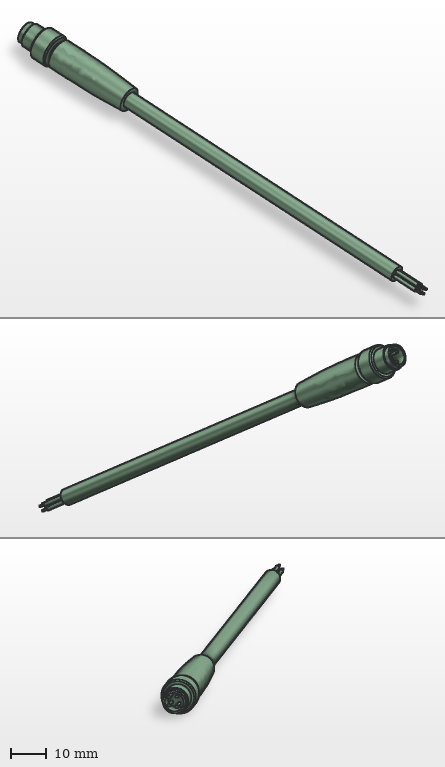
import cadquery as cq

nose_end = 1.8
sleeve_end = 5.8
nut_end = 11.3
grip_start = 12.6
grip_end = 38.7
jacket_end = 138.6
insulation_end = 146.6
strand_end = 148.7

nose_radius = 3.3
sleeve_radius = 3.7
nut_radius = 10.0 / 2
neck_radius = 2.8
grip_start_radius = 9.0 / 2
grip_middle_radius = 4.5
grip_end_radius = 3.7
jacket_radius = 2.4
nut_chamfer = 0.5

cup_radius = 2.7
cup_depth = 4.5
pin_radius = 0.5
pin_setback = 0.7
pin_centers = [(1.6, 1.2), (1.6, -1.2), (-0.6, 1.5), (-0.6, -1.5)]

wire_radius = 0.6
strand_radius = 0.3
wire_offset = 1.0
wire_centers = [(wire_offset, 0), (-wire_offset, 0), (0, wire_offset), (0, -wire_offset)]
overlap = 1.5


def rod(start, end, radius, y=0.0, z=0.0):
    """Cylinder along X between two stations."""
    return cq.Workplane("YZ", origin=(start, y, z)).circle(radius).extrude(end - start)


def make_body():
    """Connector, coupling nut, grip and jacket as one turned profile."""
    grip_middle = ((grip_start + grip_end) / 2, grip_middle_radius)
    profile = (
        cq.Workplane("XY")
        .lineTo(0, nose_radius)
        .lineTo(nose_end, nose_radius)
        .lineTo(nose_end, sleeve_radius)
        .lineTo(sleeve_end, sleeve_radius)
        .lineTo(sleeve_end, nut_radius - nut_chamfer)
        .lineTo(sleeve_end + nut_chamfer, nut_radius)
        .lineTo(nut_end - nut_chamfer, nut_radius)
        .lineTo(nut_end, nut_radius - nut_chamfer)
        .lineTo(nut_end, neck_radius)
        .lineTo(grip_start, neck_radius)
        .lineTo(grip_start, grip_start_radius)
        .threePointArc(grip_middle, (grip_end, grip_end_radius))
        .lineTo(grip_end, jacket_radius)
        .lineTo(jacket_end, jacket_radius)
        .lineTo(jacket_end, 0)
        .close()
    )
    return profile.revolve(360, (0, 0, 0), (1, 0, 0))


def add_contacts(body):
    """Hollow out the cup and stand the contact pins in it."""
    body = body.cut(rod(0, cup_depth, cup_radius))
    for y, z in pin_centers:
        body = body.union(rod(pin_setback, cup_depth + overlap, pin_radius, y, z))
    return body


def add_wires(body):
    """Add the stripped wires beyond the jacket."""
    for y, z in wire_centers:
        body = body.union(rod(jacket_end - overlap, insulation_end, wire_radius, y, z))
        body = body.union(rod(insulation_end - overlap, strand_end, strand_radius, y, z))
    return body


result = add_wires(add_contacts(make_body()))